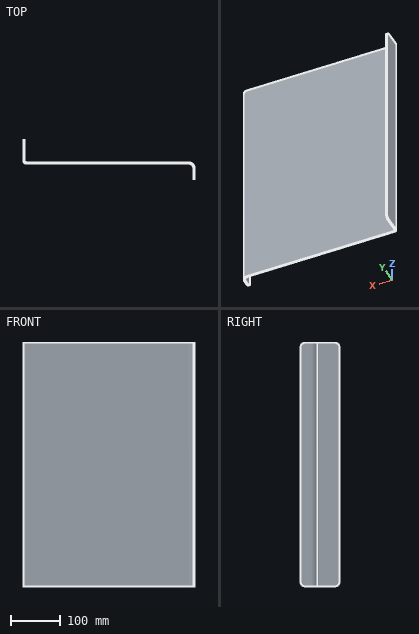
import cadquery as cq

width = 348.5
depth = 80.0
height = 496.0

thickness = 3.0
left_inner_radius = 3.0
right_inner_radius = 10.0
left_outer_radius = left_inner_radius + thickness
right_outer_radius = right_inner_radius + thickness

left_flange = 48.0
right_flange = depth - left_flange + thickness
corner_radius = 10.0


def bent_sheet():
    """Z-shaped profile, with the panel's front face at Y = 0, extruded upward."""
    left_end = left_flange
    right_end = thickness - right_flange
    return (
        cq.Workplane("XY")
        .moveTo(0, left_end)
        .lineTo(0, left_outer_radius)
        .radiusArc((left_outer_radius, 0), -left_outer_radius)
        .lineTo(width - right_outer_radius, 0)
        .radiusArc((width - thickness, -right_inner_radius), right_inner_radius)
        .lineTo(width - thickness, right_end)
        .lineTo(width, right_end)
        .lineTo(width, -right_inner_radius)
        .radiusArc((width - right_outer_radius, thickness), -right_outer_radius)
        .lineTo(left_outer_radius, thickness)
        .radiusArc((thickness, left_outer_radius), left_inner_radius)
        .lineTo(thickness, left_end)
        .close()
        .extrude(height)
    )


def round_flange_corners(sheet):
    """Round the upper and lower free corners of both flanges."""
    for end_face in (">Y", "<Y"):
        sheet = sheet.faces(end_face).edges("|X").fillet(corner_radius)
    return sheet


result = round_flange_corners(bent_sheet())